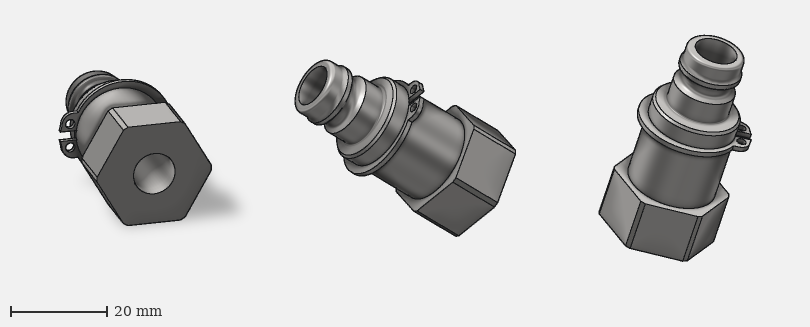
import cadquery as cq
import math

length = 45.0
nose_round = 0.85
flare_start = 2.9
rim_start = 3.95
rim_end = 4.9
rim_round_end = 5.18
groove_left_wall = 5.5
groove_floor_start = 6.7
groove_floor_end = 7.25
groove_right_wall = 8.32
neck_start = 8.8
neck_end = 13.5
shoulder_foot = 13.95
shoulder_edge = 14.25
body_start = 14.85
ring_groove_start = 18.22
ring_start = 18.35
ring_end = 19.45
hex_start = 33.52

bore_radius = 9.0 / 2
nose_radius = 12.5 / 2
neck_radius = 13.4 / 2
rim_round_radius = 6.55
groove_wall_radius = 6.0
groove_radius = 10.8 / 2
shoulder_fillet_radius = 7.25
shoulder_foot_radius = 14.95 / 2
shoulder_edge_radius = 18.0 / 2
body_radius = 19.0 / 2
ring_seat_radius = 17.0 / 2

across_flats = 22.0
across_corners = 24.75

ring_radius = 10.9
ring_offset = 0.65
gap_half_width = 1.05
lug_center_y = -9.95
lug_center_z = 2.4
lug_radius = 2.6
lug_tip_y = -12.85
lug_hole_diameter = 2.0
lug_hole_y = -10.75
lug_hole_z = 2.6

ring_thickness = ring_end - ring_start
diagonal = math.sqrt(0.5)


def yz_plane(x):
    """Sketch plane at station x: local axes are Y and Z, extruding toward +X."""
    return cq.Workplane("YZ", origin=(x, 0, 0))


def axial_arc_mid(axial_end, other_end):
    """Midpoint of the arc between two points that runs parallel to X at axial_end."""
    run = other_end[0] - axial_end[0]
    rise = other_end[1] - axial_end[1]
    arc_radius = (run**2 + rise**2) / (2 * abs(rise))
    half_angle = math.atan2(abs(rise), abs(run))
    return (
        axial_end[0] + math.copysign(arc_radius * math.sin(half_angle), run),
        axial_end[1] + math.copysign(arc_radius * (1 - math.cos(half_angle)), rise),
    )


def make_body():
    """Revolve the turned outline about the X axis."""
    round_mid = (nose_round * (1 - diagonal), nose_radius - nose_round * (1 - diagonal))
    flare_mid = ((flare_start + rim_start) / 2, nose_radius + (neck_radius - nose_radius) / 4)
    rim_edge = (rim_end, neck_radius)
    rim_round_edge = (rim_round_end, rim_round_radius)
    left_wall = (groove_left_wall, groove_wall_radius)
    left_floor = (groove_floor_start, groove_radius)
    right_floor = (groove_floor_end, groove_radius)
    right_wall = (groove_right_wall, groove_wall_radius)
    fillet_start = (neck_end, neck_radius)
    fillet_end = (shoulder_foot, shoulder_fillet_radius)
    outline = (
        cq.Workplane("XY")
        .lineTo(0, nose_radius - nose_round)
        .threePointArc(round_mid, (nose_round, nose_radius))
        .lineTo(flare_start, nose_radius)
        .threePointArc(flare_mid, (rim_start, neck_radius))
        .lineTo(rim_end, neck_radius)
        .threePointArc(axial_arc_mid(rim_edge, rim_round_edge), rim_round_edge)
        .lineTo(*left_wall)
        .threePointArc(axial_arc_mid(left_floor, left_wall), left_floor)
        .lineTo(*right_floor)
        .threePointArc(axial_arc_mid(right_floor, right_wall), right_wall)
        .lineTo(neck_start, neck_radius)
        .lineTo(*fillet_start)
        .threePointArc(axial_arc_mid(fillet_start, fillet_end), fillet_end)
        .lineTo(shoulder_foot, shoulder_foot_radius)
        .lineTo(shoulder_edge, shoulder_edge_radius)
        .lineTo(body_start, body_radius)
        .lineTo(ring_groove_start, body_radius)
        .lineTo(ring_groove_start, ring_seat_radius)
        .lineTo(ring_end, ring_seat_radius)
        .lineTo(ring_end, body_radius)
        .lineTo(length, body_radius)
        .lineTo(length, 0)
        .close()
    )
    return outline.revolve(360, (0, 0, 0), (1, 0, 0))


def make_hexagon():
    """Hexagon with flats at top and bottom and each corner cut square to its diagonal."""
    hex_length = length - hex_start
    sharp_corners = across_flats / math.cos(math.pi / 6)
    flats = yz_plane(hex_start).polygon(6, sharp_corners).extrude(hex_length)
    corner_prism_diameter = across_corners / math.cos(math.pi / 6)
    corner_cut = (
        yz_plane(hex_start)
        .transformed(rotate=(0, 0, 30))
        .polygon(6, corner_prism_diameter)
        .extrude(hex_length)
    )
    return flats.intersect(corner_cut)


def make_lug(side):
    """Plier lug above (side = 1) or below (side = -1) the ring gap."""
    arc_mid = (lug_center_y - lug_radius * diagonal, side * (lug_center_z + lug_radius * diagonal))
    lug = (
        yz_plane(ring_start)
        .moveTo(-ring_seat_radius, side * gap_half_width)
        .lineTo(-ring_seat_radius, side * (lug_center_z + lug_radius))
        .lineTo(lug_center_y, side * (lug_center_z + lug_radius))
        .threePointArc(arc_mid, (lug_center_y - lug_radius, side * lug_center_z))
        .lineTo(lug_tip_y, side * gap_half_width)
        .close()
        .extrude(ring_thickness)
    )
    hole = (
        yz_plane(ring_start)
        .center(lug_hole_y, side * lug_hole_z)
        .circle(lug_hole_diameter / 2)
        .extrude(ring_thickness)
    )
    return lug, hole


def make_ring():
    """Retaining ring seated in its groove, split at -Y between the lugs."""
    ring = yz_plane(ring_start).center(ring_offset, 0).circle(ring_radius).extrude(ring_thickness)
    for side in (1, -1):
        lug, hole = make_lug(side)
        ring = ring.union(lug).cut(hole)
    gap = (
        yz_plane(ring_start)
        .center(lug_tip_y / 2, 0)
        .rect(-lug_tip_y, 2 * gap_half_width)
        .extrude(ring_thickness)
    )
    seat = yz_plane(ring_start).circle(ring_seat_radius).extrude(ring_thickness)
    return ring.cut(gap).cut(seat)


bore = yz_plane(0).circle(bore_radius).extrude(length)
result = make_body().union(make_hexagon()).union(make_ring()).cut(bore)